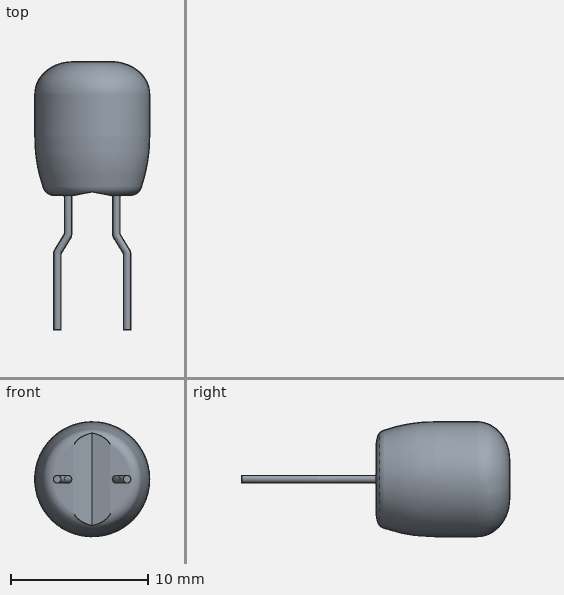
import cadquery as cq
import math

overall_length = 19.56
body_length = 9.76
body_diameter = 8.4
body_radius = body_diameter / 2
dome_height = 2.39
dome_flat_radius = 1.37

barrel_height = 4.28
base_rim_height = 0.59
base_rim_radius = 3.58
base_flat_radius = 2.82

groove_half_width = 1.33
groove_depth = 0.25

lead_radius = 0.27
lead_fillet = 0.1
lead_exit_offset = 1.76
lead_tip_offset = 2.55
lead_bend_start = 2.82
lead_bend_angle = math.radians(31.5)
lead_bend_radius = 0.3
lead_embed = 0.3


def make_body():
    """Can body, revolved about Y from its half outline."""
    barrel_drop = barrel_height - base_rim_height
    barrel_inset = body_radius - base_rim_radius
    barrel_radius = (barrel_drop**2 + barrel_inset**2) / (2 * barrel_inset)
    barrel_end_angle = math.asin(barrel_drop / barrel_radius)

    half_arc = barrel_end_angle / 2
    barrel_middle = (
        body_radius - barrel_radius * (1 - math.cos(half_arc)),
        barrel_height - barrel_radius * math.sin(half_arc),
    )

    dome_width = body_radius - dome_flat_radius
    outline = (
        cq.Workplane("XY")
        .moveTo(0, body_length)
        .lineTo(dome_flat_radius, body_length)
        .ellipseArc(dome_width, dome_height, 0, 90, sense=-1)
        .lineTo(body_radius, barrel_height)
        .threePointArc(barrel_middle, (base_rim_radius, base_rim_height))
        .tangentArcPoint((base_flat_radius, 0), relative=False)
        .lineTo(0, 0)
        .close()
    )
    return outline.revolve(360, (0, 0, 0), (0, 1, 0))


def make_groove():
    """Shallow V groove running along Z across the base."""
    return (
        cq.Workplane("XY")
        .moveTo(-groove_half_width, 0)
        .lineTo(0, groove_depth)
        .lineTo(groove_half_width, 0)
        .close()
        .extrude(body_radius, both=True)
    )


def make_lead():
    """Lead on the +X side: straight, jogged outward, then straight to the tip."""
    sin_bend = math.sin(lead_bend_angle)
    cos_bend = math.cos(lead_bend_angle)
    arc_out = lead_bend_radius * (1 - cos_bend)
    arc_down = lead_bend_radius * sin_bend
    slope_out = lead_tip_offset - lead_exit_offset - 2 * arc_out
    slope_down = slope_out * cos_bend / sin_bend

    slope_start = (lead_exit_offset + arc_out, -lead_bend_start - arc_down)
    slope_end = (slope_start[0] + slope_out, slope_start[1] - slope_down)
    lower_start = (lead_tip_offset, slope_end[1] - arc_down)

    path = (
        cq.Workplane("XY")
        .moveTo(lead_exit_offset, lead_embed)
        .lineTo(lead_exit_offset, -lead_bend_start)
        .tangentArcPoint(slope_start, relative=False)
        .lineTo(*slope_end)
        .tangentArcPoint(lower_start, relative=False)
        .lineTo(lead_tip_offset, body_length - overall_length)
    )
    wire = (
        cq.Workplane("XZ", origin=(lead_exit_offset, lead_embed, 0))
        .circle(lead_radius)
        .sweep(path)
    )
    return wire.union(make_lead_root())


def make_lead_root():
    """Concave fillet blending a lead into the base face."""
    root_radius = lead_radius + lead_fillet
    fillet_reach = lead_fillet * (1 - math.sqrt(0.5))
    return (
        cq.Workplane("XY", origin=(lead_exit_offset, 0, 0))
        .moveTo(0, lead_embed)
        .lineTo(root_radius, lead_embed)
        .lineTo(root_radius, 0)
        .threePointArc((lead_radius + fillet_reach, -fillet_reach), (lead_radius, -lead_fillet))
        .lineTo(0, -lead_fillet)
        .close()
        .revolve(360, (0, 0, 0), (0, 1, 0))
    )


lead = make_lead()
result = make_body().cut(make_groove()).union(lead).union(lead.mirror("YZ"))